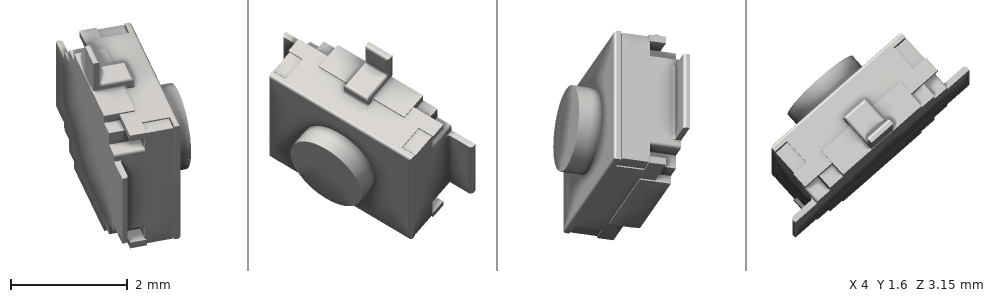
import cadquery as cq


body_width = 3.0
body_height = 2.4
body_depth = 1.06
waist_height = 2.2
rib_width = 1.8
rib_height = 2.5
rear_depth = 0.555
notch_inner_x = 1.2
notch_inner_z = 0.85
edge_radius = 0.05

cover_front_y = 1.2
cover_gap = 0.02
cover_height = 2.45
cover_wall_width = 2.45
core_width = 2.6
core_height = 2.2
ear_width = 3.05
ear_rear_y = 0.28
ear_front_y = 0.58

button_diameter = 1.5
button_front_y = 1.6

terminal_span = 4.0
terminal_height = 1.41
terminal_thickness = 0.11
terminal_edge_radius = 0.06

lever_width = 0.5
lever_tip_z = 1.9
lever_arm_bottom_z = 1.3
lever_thickness = 0.12
lever_arm_top_z = lever_arm_bottom_z + lever_thickness
lever_front_y = 0.72


def block(width, height, rear_y, front_y):
    """Box centred on X and Z, spanning rear_y to front_y."""
    depth = front_y - rear_y
    return cq.Workplane("XY").box(width, depth, height).translate((0, (rear_y + front_y) / 2, 0))


def make_housing():
    """Housing with a notch at each rear corner and a raised rib above and below."""
    waist = block(2 * notch_inner_x, waist_height, 0, rear_depth)
    flanks = block(body_width, 2 * notch_inner_z, 0, rear_depth).edges("|Y").fillet(edge_radius)
    rib = block(rib_width, rib_height, 0, rear_depth)
    main = block(body_width, body_height, rear_depth, body_depth)
    return main.union(waist).union(flanks).union(rib)


def make_cover():
    """Front plate with upper and lower walls ending in ears; a thin gap parts its corners from the housing."""
    plate = block(body_width, cover_height, body_depth + cover_gap, cover_front_y)
    plate = plate.faces(">Y").edges().fillet(edge_radius)
    walls = block(cover_wall_width, cover_height, ear_rear_y, cover_front_y - edge_radius)
    ears = block(ear_width, cover_height, ear_rear_y, ear_front_y)
    inside = block(ear_width, waist_height, 0, body_depth)
    core = block(core_width, core_height, rear_depth, cover_front_y - edge_radius)
    return walls.union(ears).cut(inside).union(core).union(plate)


def make_button():
    """Round button standing out from the cover plate."""
    button = cq.Workplane("XZ").circle(button_diameter / 2).extrude(cover_front_y - button_front_y)
    return button.translate((0, cover_front_y, 0))


def make_terminals():
    """Plate across the back whose ends stick out, with rounded tips and a fillet at each root."""
    half_span = terminal_span / 2
    half_body = body_width / 2
    root_y = terminal_thickness + edge_radius
    tip_x = half_span - terminal_edge_radius
    root_x = half_body + edge_radius
    terminals = cq.Workplane("XY")
    for side in (-1, 1):
        outline = (
            cq.Workplane("XY")
            .moveTo(0, 0)
            .lineTo(side * half_span, 0)
            .lineTo(side * half_span, terminal_thickness - terminal_edge_radius)
            .radiusArc((side * tip_x, terminal_thickness), -side * terminal_edge_radius)
            .lineTo(side * root_x, terminal_thickness)
            .radiusArc((side * half_body, root_y), side * edge_radius)
            .lineTo(0, root_y)
            .close()
        )
        terminals = terminals.add(outline.extrude(terminal_height / 2, both=True))
    return terminals.combine()


def make_lever():
    """Stepped strip: a short leg from the cover, an arm to the back and an upright tip."""
    leg_foot_z = waist_height / 2
    profile = [
        (0, lever_arm_bottom_z),
        (0, lever_tip_z),
        (lever_thickness, lever_tip_z),
        (lever_thickness, lever_arm_top_z),
        (lever_front_y, lever_arm_top_z),
        (lever_front_y, leg_foot_z),
        (lever_front_y - lever_thickness, leg_foot_z),
        (lever_front_y - lever_thickness, lever_arm_bottom_z),
    ]
    strip = cq.Workplane("YZ").polyline(profile).close().extrude(lever_width / 2, both=True)
    front_edges = cq.selectors.BoxSelector(
        (-lever_width, lever_thickness - edge_radius, lever_arm_top_z - edge_radius),
        (lever_width, lever_front_y + edge_radius, lever_tip_z + edge_radius),
    )
    return strip.edges(front_edges).fillet(edge_radius)


def make_lever_root():
    """Concave fillet where the front of the lever leg meets the top of the cover."""
    cover_top_z = cover_height / 2
    web = (
        cq.Workplane("YZ")
        .moveTo(lever_front_y, cover_top_z)
        .lineTo(lever_front_y, cover_top_z + edge_radius)
        .radiusArc((lever_front_y + edge_radius, cover_top_z), -edge_radius)
        .close()
    )
    return web.extrude(lever_width / 2, both=True)


result = (
    make_housing()
    .union(make_cover())
    .union(make_button())
    .union(make_terminals())
    .union(make_lever())
    .union(make_lever_root())
)